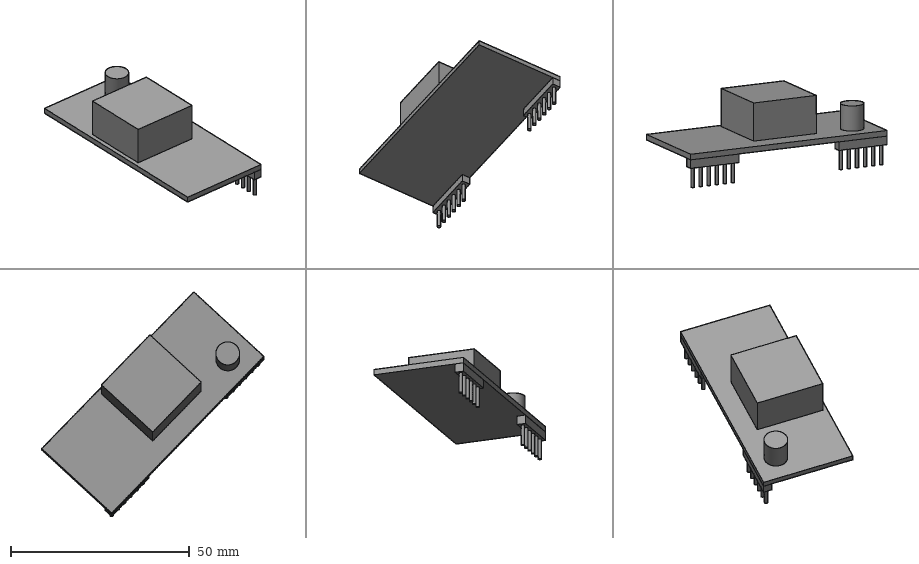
import cadquery as cq

board_length = 62.0
board_width = 27.0
board_thickness = 1.6

block_side = 19.8
block_height = 11.0
block_left_gap = 19.3
block_front_gap = 1.3

can_diameter = 6.65
can_height = 7.25
can_from_left = 7.55
can_from_back = 6.75

pin_count = 6
pin_pitch = 2.55
pin_diameter = 1.0
pin_length = 5.8
header_length = pin_count * pin_pitch
header_width = 2.5
header_height = 2.5

board_left = -board_length / 2
board_front = -board_width / 2
board_back = board_width / 2


def make_board():
    return cq.Workplane("XY").box(
        board_length, board_width, board_thickness, centered=(True, True, False)
    )


def make_block():
    return (
        cq.Workplane("XY", origin=(board_left + block_left_gap, board_front + block_front_gap, board_thickness))
        .box(block_side, block_side, block_height, centered=False)
    )


def make_can():
    return (
        cq.Workplane("XY", origin=(board_left + can_from_left, board_back - can_from_back, board_thickness))
        .circle(can_diameter / 2)
        .extrude(can_height)
    )


def make_header(center_x):
    """Strip flush with the back edge of the board, with one row of fused round pins below it."""
    strip = (
        cq.Workplane("XY", origin=(center_x, board_back - header_width / 2, -header_height))
        .box(header_length, header_width, header_height, centered=(True, True, False))
    )
    return (
        strip.faces("<Z").workplane(centerOption="CenterOfBoundBox")
        .rarray(pin_pitch, 0.6, pin_count, 1)
        .circle(pin_diameter / 2)
        .extrude(pin_length)
    )


board = make_board()
block = make_block()
can = make_can()

header_offset = (board_length - header_length) / 2
headers = [make_header(side * header_offset) for side in (-1, 1)]

result = cq.Compound.makeCompound(
    [board.val(), block.val(), can.val(), *[header.val() for header in headers]]
)